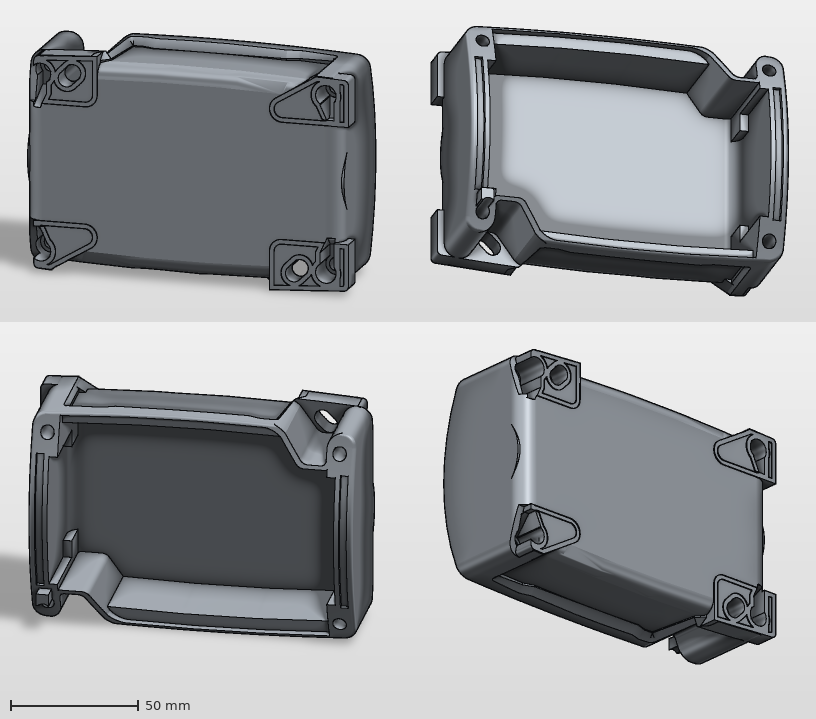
import cadquery as cq
import math

HALF_LENGTH = 65.05
OVERALL_LENGTH = 132.94
HALF_HEIGHT = 90.87 / 2
BACK_GAP = 0.4
RIM_CREST = 48.5
RIM_RADIUS = 102.0
SIDE_RADIUS = 900.0
CORNER_RADIUS = 5.6
END_ROUND = 7.0
RIM_EDGE = 1.6
BELOW = -1.0
OVERSIZE = 80.0

DISC_RADIUS = 19.6
DISC_CENTRE_Y = 23.2
DISC_DEPTH = 3.0

RECESS_DEPTH = 3.4
RECESS_ROUND = 6.0
RECESS_TAPER = -45.0
RECESS_FLOOR_Z = HALF_HEIGHT - RECESS_DEPTH
RECESS_REACH = 10.0
RECESS_LEFT = -29.5
RECESS_RIGHT = 52.5
RECESS_LEDGE_MID = 28.2
RECESS_LEDGE_END = 30.0
RECESS_LEFT_STEP = 4.0
RECESS_RIGHT_STEP = 13.5
RECESS_STEP_RUN = 5.0
RECESS_CORNER_X = -32.0
RECESS_CORNER_LOW_Y = 4.5
RECESS_CORNER_HIGH_Y = 8.0

NOTCH_FLOOR_Z = 31.2
NOTCH_NEAR_X = 53.4
NOTCH_ROUND = 2.0
NOTCH_SLOPE_ROUND = 4.0
NOTCH_SLOPE_FOOT_X = -44.2
NOTCH_SLOPE_TOP = (-36.4, 42.0)
NOTCH_BLEND_MID = (-33.0, 44.3)
NOTCH_BLEND_END = (-28.3, 45.4)
PILLAR_ROUND = 5.7

FOOT_HEIGHT = 9.2
FOOT_OUTER_X = OVERALL_LENGTH - HALF_LENGTH
FOOT_CLIP_X = -61.4
FOOT_INNER_X = 35.4
FOOT_INNER_Z = 23.9
FOOT_CORNER = 5.0
FOOT_OUTER_CORNER = 2.0
FOOT_BORDER = 1.9
FOOT_TIP_RADIUS = 5.2
FOOT_SLANT = 31.0

SCREW_X = 58.6
SCREW_Z = 36.1
SCREW_RADIUS = 2.7
BORE_RADIUS = 4.2
BORE_DEPTH = 14.0
CHANNEL_INNER_X = 56.2
CHANNEL_OUTER_X = 61.9
CHANNEL_TIP_X = 59.0
CHANNEL_RAMP = 6.0
CHANNEL_END_CLOSED = 26.2
CHANNEL_END_OPEN = 22.0
CHANNEL_END_DEPTH_CLOSED = 4.0
CHANNEL_END_DEPTH_OPEN = 1.0
SLOT_X = 46.7
SLOT_RADIUS = 3.3
SLOT_LENGTH = 10.4
SLOT_ANGLE = 45.0
RELIEF_INNER_Y = 4.1
RELIEF_OUTER_Y = 7.7
SLIT_X = 65.15
SLIT_WIDTH = 1.6

WALL = 2.5
UPPER_WALL = 1.3
UPPER_ROOM_Y = 35.0
NOTCH_WALL = 1.6
GROOVE_WIDTH = 3.1
GROOVE_DEPTH = 2.0
GROOVE_HALF_SPAN = 28.0
INNER_LIP = 2.0
CAVITY_HALF_LENGTH = HALF_LENGTH - WALL - GROOVE_WIDTH - INNER_LIP
PILLAR_INNER_X = 54.0
PILLAR_INNER_Z = 27.0
CHANNEL_BACKING_Z = 20.0
CHANNEL_BACKING_Y = 16.0

PEG_X = (56.5, 61.5)
PEG_Z = (-34.3, -29.4)
PEG_TOP = 50.5
PEG_ROOT = 30.0


def plan(y):
    """Workplane in X and Z at height y; extrude negatively to go towards +Y."""
    return cq.Workplane("XZ", origin=(0, y, 0))


def block(x_range, y_range, z_range):
    size = [high - low for low, high in (x_range, y_range, z_range)]
    return cq.Workplane("XY").box(*size, centered=False).translate((x_range[0], y_range[0], z_range[0]))


def half_turn(shape):
    """Copy of a shape turned 180 degrees about the Y axis."""
    return shape.rotate((0, 0, 0), (0, 1, 0), 180)


def side_z(x, inset=0.0):
    """Height of the bowed long side at x."""
    return HALF_HEIGHT - inset - SIDE_RADIUS + math.sqrt(SIDE_RADIUS**2 - x**2)


def rim_y(z):
    """Height of the arched rim at z."""
    return RIM_CREST - RIM_RADIUS + math.sqrt(RIM_RADIUS**2 - z**2)


def bowed_plan(half_length, inset, y_low, y_high):
    """Prism along Y with straight ends and bowed long sides."""
    edge = side_z(half_length, inset)
    crest = HALF_HEIGHT - inset
    return (
        plan(y_low)
        .moveTo(-half_length, -edge)
        .threePointArc((0, -crest), (half_length, -edge))
        .lineTo(half_length, edge)
        .threePointArc((0, crest), (-half_length, edge))
        .close()
        .extrude(y_low - y_high)
    )


def arch_prism():
    """Prism along X whose far side is the rim arch."""
    edge = rim_y(OVERSIZE)
    return (
        cq.Workplane("YZ", origin=(-OVERSIZE, 0, 0))
        .moveTo(BACK_GAP, -OVERSIZE)
        .lineTo(edge, -OVERSIZE)
        .threePointArc((RIM_CREST, 0), (edge, OVERSIZE))
        .lineTo(BACK_GAP, OVERSIZE)
        .close()
        .extrude(2 * OVERSIZE)
    )


def make_shell():
    shell = bowed_plan(HALF_LENGTH, 0, BACK_GAP, PEG_TOP).edges("|Y").fillet(CORNER_RADIUS)
    rounded_ends = (
        block((-HALF_LENGTH, HALF_LENGTH), (BACK_GAP, PEG_TOP), (-OVERSIZE, OVERSIZE))
        .edges("|Z and <Y")
        .fillet(END_ROUND)
    )
    shell = shell.intersect(arch_prism())
    shell = shell.faces(">Y").edges().fillet(RIM_EDGE)
    return shell.intersect(rounded_ends)


def end_disc():
    return (
        cq.Workplane("YZ", origin=(-HALF_LENGTH, 0, 0))
        .center(DISC_CENTRE_Y, 0)
        .circle(DISC_RADIUS)
        .extrude(DISC_DEPTH)
    )


def recess_outline():
    """Outline of the side recess at its floor, open towards the front face."""
    return (
        cq.Workplane("XY", origin=(0, 0, RECESS_FLOOR_Z))
        .moveTo(-FOOT_INNER_X, -OVERSIZE)
        .lineTo(-FOOT_INNER_X, RECESS_CORNER_LOW_Y)
        .lineTo(RECESS_CORNER_X, RECESS_CORNER_HIGH_Y)
        .lineTo(RECESS_LEFT, RECESS_LEDGE_END)
        .lineTo(RECESS_LEFT + RECESS_LEFT_STEP, RECESS_LEDGE_END)
        .lineTo(RECESS_LEFT + RECESS_LEFT_STEP + RECESS_STEP_RUN, RECESS_LEDGE_MID)
        .lineTo(RECESS_RIGHT - RECESS_RIGHT_STEP - RECESS_STEP_RUN, RECESS_LEDGE_MID)
        .lineTo(RECESS_RIGHT - RECESS_RIGHT_STEP, RECESS_LEDGE_END)
        .lineTo(RECESS_RIGHT, RECESS_LEDGE_END)
        .lineTo(RECESS_RIGHT, -OVERSIZE)
        .close()
    )


def side_recess():
    """Tool for the stepped recess in the +Z side; its floor follows the bow of the side."""
    flared = recess_outline().extrude(RECESS_REACH, taper=RECESS_TAPER)
    straight = recess_outline().extrude(-RECESS_REACH)
    core = bowed_plan(OVERSIZE, RECESS_DEPTH, BACK_GAP, OVERSIZE)
    core = core.faces("<Y").edges(">Z or <Z").fillet(RECESS_ROUND)
    return flared.union(straight).cut(core)


def corner_notch(inset=0.0, y_low=FOOT_HEIGHT):
    """Notch at the -X, +Z corner; a positive inset gives the larger outline of its inner wall."""
    near_x = -NOTCH_NEAR_X - inset
    mouth_x = near_x - PILLAR_ROUND
    mouth_z = side_z(mouth_x)
    bulge = PILLAR_ROUND * math.sin(math.radians(45))
    return (
        plan(y_low)
        .moveTo(mouth_x, OVERSIZE)
        .lineTo(mouth_x, mouth_z)
        .threePointArc((mouth_x + bulge, mouth_z - PILLAR_ROUND + bulge), (near_x, mouth_z - PILLAR_ROUND))
        .lineTo(near_x, NOTCH_FLOOR_Z - inset)
        .lineTo(NOTCH_SLOPE_FOOT_X + inset, NOTCH_FLOOR_Z - inset)
        .lineTo(NOTCH_SLOPE_TOP[0] + inset, NOTCH_SLOPE_TOP[1] - inset)
        .threePointArc(
            (NOTCH_BLEND_MID[0] + inset, NOTCH_BLEND_MID[1] - inset),
            (NOTCH_BLEND_END[0] + inset, NOTCH_BLEND_END[1] - inset),
        )
        .lineTo(NOTCH_BLEND_END[0] + inset, OVERSIZE)
        .close()
        .extrude(y_low - OVERSIZE)
        .edges("|Y")
        .edges("<Z")
        .edges("<X")
        .fillet(NOTCH_ROUND)
        .edges("|Y")
        .edges("<Z")
        .edges(">X")
        .fillet(NOTCH_SLOPE_ROUND)
    )


def cavity():
    """Interior space, kept clear of the notches and the screw pillars."""
    room = bowed_plan(CAVITY_HALF_LENGTH, RECESS_DEPTH + WALL, BACK_GAP + WALL, OVERSIZE)
    room = room.edges("|Z and <Y").fillet(RECESS_ROUND)
    room = room.union(bowed_plan(CAVITY_HALF_LENGTH, UPPER_WALL, UPPER_ROOM_Y, OVERSIZE))
    outer_x = (PILLAR_INNER_X, OVERSIZE)
    pillar = block(outer_x, (0, OVERSIZE), (PILLAR_INNER_Z, OVERSIZE))
    backing = block(outer_x, (0, CHANNEL_BACKING_Y), (CHANNEL_BACKING_Z, OVERSIZE))
    corner = pillar.union(backing)
    for keep in (corner_notch(NOTCH_WALL, 0), corner, corner.mirror("XY")):
        room = room.cut(keep).cut(half_turn(keep))
    return room


def end_groove():
    """Sealing groove following the rim arch along the +X end wall."""
    outer_x = HALF_LENGTH - WALL
    strip = block(
        (outer_x - GROOVE_WIDTH, outer_x), (0, OVERSIZE), (-GROOVE_HALF_SPAN, GROOVE_HALF_SPAN)
    )
    return strip.cut(arch_prism().translate((0, -GROOVE_DEPTH, 0)))


def square_foot(inset, y_low, y_high):
    """Rounded rectangular foot outline at the +X, -Z corner."""
    inner_x = FOOT_INNER_X + inset
    inner_z = -FOOT_INNER_Z - inset
    outer_x = FOOT_OUTER_X - inset
    return (
        plan(y_low)
        .moveTo(inner_x, inner_z)
        .lineTo(outer_x, inner_z)
        .lineTo(outer_x, inset - side_z(outer_x))
        .lineTo(inner_x, inset - side_z(inner_x))
        .close()
        .extrude(y_low - y_high)
        .edges("|Y and <X").edges(">Z")
        .fillet(FOOT_CORNER - inset)
        .edges("|Y and >X").edges("<Z")
        .fillet(FOOT_OUTER_CORNER - inset / 2)
    )


def triangular_foot(inset, y_low, y_high):
    """Foot with a slanted edge and a round tip at the +X, +Z corner."""
    radius = FOOT_TIP_RADIUS - inset
    tip_x = FOOT_INNER_X + FOOT_TIP_RADIUS
    tip_z = FOOT_INNER_Z + FOOT_TIP_RADIUS
    outer_x = FOOT_OUTER_X - inset
    slant = math.radians(FOOT_SLANT)
    start_x = tip_x - radius * math.sin(slant)
    start_z = tip_z + radius * math.cos(slant)
    top_z = side_z(SCREW_X) - inset
    shoulder_x = start_x + (top_z - start_z) / math.tan(slant)
    return (
        plan(y_low)
        .moveTo(tip_x, tip_z - radius)
        .lineTo(outer_x, tip_z - radius)
        .lineTo(outer_x, side_z(outer_x) - inset)
        .lineTo(shoulder_x, top_z)
        .lineTo(start_x, start_z)
        .threePointArc((tip_x - radius, tip_z), (tip_x, tip_z - radius))
        .close()
        .extrude(y_low - y_high)
        .edges("|Y and >X").edges(">Z")
        .fillet(FOOT_OUTER_CORNER - inset / 2)
    )


def screw_cylinder(radius, y_high, z):
    return plan(BELOW).center(SCREW_X, z).circle(radius).extrude(BELOW - y_high)


def mounting_slot(radius_growth, y_high):
    """Slanted slot through the foot at the +X, -Z corner."""
    return (
        plan(BELOW)
        .center(SLOT_X, -SCREW_Z)
        .slot2D(SLOT_LENGTH + 2 * radius_growth, 2 * (SLOT_RADIUS + radius_growth), SLOT_ANGLE)
        .extrude(BELOW - y_high)
    )


def channel_prism(z, channel_end, growth):
    """Straight-walled channel from a screw hole, narrowing at its end; growth widens it all round."""
    ramp_start = channel_end + math.copysign(CHANNEL_RAMP, z)
    return (
        plan(BELOW)
        .polyline(
            [
                (CHANNEL_OUTER_X + growth, z),
                (CHANNEL_INNER_X - growth, z),
                (CHANNEL_INNER_X - growth, ramp_start),
                (CHANNEL_TIP_X - growth, channel_end),
                (CHANNEL_OUTER_X + growth, channel_end),
            ]
        )
        .close()
        .extrude(BELOW - BORE_DEPTH)
    )


def screw_land(z, channel_end):
    """Raised land around a counterbore and its channel."""
    ring = screw_cylinder(BORE_RADIUS + FOOT_BORDER, FOOT_HEIGHT, z)
    return ring.union(channel_prism(z, channel_end, FOOT_BORDER))


def slit_strip():
    half = SLIT_WIDTH / 2
    return block((SLIT_X - half, SLIT_X + half), (BELOW, FOOT_HEIGHT), (-OVERSIZE, OVERSIZE))


def foot_pockets(foot, land):
    """Shallow pockets of a foot: the inner panel and the narrow slit near the outer edge."""
    panel = foot(FOOT_BORDER, BELOW, BACK_GAP)
    inner_part = block((0, SCREW_X), (BELOW, FOOT_HEIGHT), (-OVERSIZE, OVERSIZE))
    return panel.intersect(inner_part.union(slit_strip())).cut(land)


def screw_relief(z, channel_end, end_depth):
    """Counterbore of a screw hole with the ramped channel that runs from it."""
    ramp_start = channel_end + math.copysign(CHANNEL_RAMP, z)
    ramp_profile = (
        cq.Workplane("YZ")
        .polyline(
            [
                (BELOW, z),
                (BORE_DEPTH, z),
                (BORE_DEPTH, ramp_start),
                (end_depth, channel_end),
                (BELOW, channel_end),
            ]
        )
        .close()
        .extrude(OVERSIZE)
    )
    channel = channel_prism(z, channel_end, 0).intersect(ramp_profile)
    return screw_cylinder(BORE_RADIUS, BORE_DEPTH, z).union(channel)


def corner_relief():
    """Slanted cut that frees the foot's outer side at the -X, +Z corner."""
    return (
        cq.Workplane("YZ", origin=(-OVERSIZE, 0, 0))
        .polyline(
            [
                (BELOW, FOOT_INNER_Z),
                (RELIEF_INNER_Y, FOOT_INNER_Z),
                (RELIEF_OUTER_Y, SCREW_Z),
                (FOOT_HEIGHT, HALF_HEIGHT - RECESS_DEPTH),
                (FOOT_HEIGHT, OVERSIZE),
                (BELOW, OVERSIZE),
            ]
        )
        .close()
        .extrude(OVERSIZE + FOOT_CLIP_X + FOOT_OUTER_CORNER)
        .cut(feet_zone())
    )


def feet_zone():
    """Space the feet may fill, with rounded corners at the -X end."""
    edge = side_z(FOOT_CLIP_X)
    near = block((FOOT_CLIP_X, 0), (BELOW, OVERSIZE), (-edge, edge))
    near = near.edges("|Y and <X").fillet(FOOT_OUTER_CORNER)
    rest_x = FOOT_CLIP_X + 2 * FOOT_OUTER_CORNER
    rest = block((rest_x, OVERSIZE), (BELOW, OVERSIZE), (-OVERSIZE, OVERSIZE))
    return near.union(rest)


def make_peg():
    return block(PEG_X, (PEG_ROOT, PEG_TOP), PEG_Z)


body = make_shell()
for tool in (side_recess(), corner_notch(), cavity(), end_groove()):
    body = body.cut(tool).cut(half_turn(tool))
disc = end_disc()
body = body.union(disc.cut(cavity())).union(half_turn(disc))

square = square_foot(0, 0, FOOT_HEIGHT)
triangle = triangular_foot(0, 0, FOOT_HEIGHT)
relief = corner_relief()
body = body.cut(relief).cut(relief.mirror("XY"))
room = cavity()
for foot in (square, triangle, half_turn(square), half_turn(triangle)):
    body = body.union(foot.intersect(feet_zone()).cut(room))
body = body.union(make_peg())

square_land = screw_land(-SCREW_Z, -CHANNEL_END_OPEN).union(mounting_slot(FOOT_BORDER, FOOT_HEIGHT))
triangle_land = screw_land(SCREW_Z, CHANNEL_END_CLOSED)
foot_cuts = (
    foot_pockets(square_foot, square_land),
    foot_pockets(triangular_foot, triangle_land),
    screw_relief(-SCREW_Z, -CHANNEL_END_OPEN, CHANNEL_END_DEPTH_OPEN),
    screw_relief(SCREW_Z, CHANNEL_END_CLOSED, CHANNEL_END_DEPTH_CLOSED),
    screw_cylinder(SCREW_RADIUS, OVERSIZE, -SCREW_Z),
    screw_cylinder(SCREW_RADIUS, OVERSIZE, SCREW_Z),
    mounting_slot(0, OVERSIZE),
)
for tool in foot_cuts:
    body = body.cut(tool).cut(half_turn(tool))

result = body